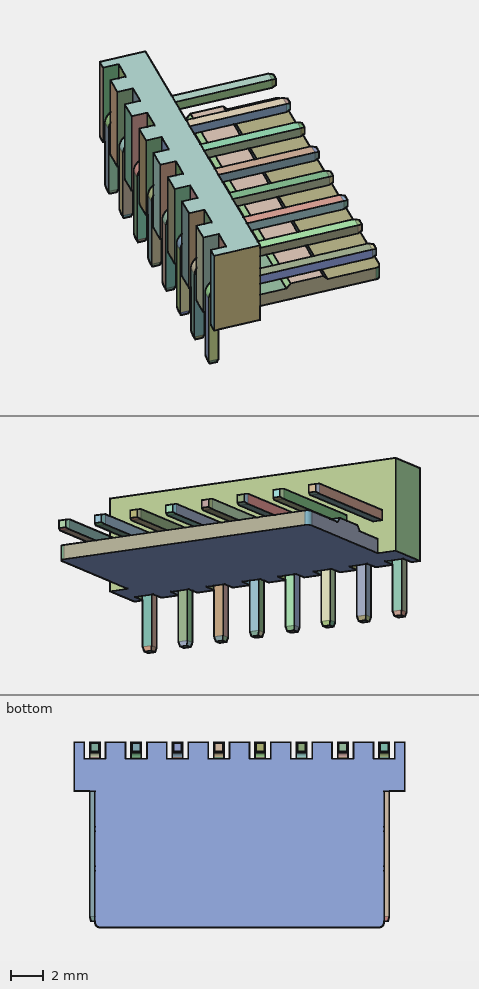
import cadquery as cq


pin_count = 8
body_length = 20.32
pitch = body_length / pin_count
pin_centres = [(i + 0.5) * pitch - body_length / 2 for i in range(pin_count)]

body_depth = 3.0
body_height = 5.9
slot_width = 1.3
slot_depth = 1.02

tongue_end = 11.4
tongue_width = pin_centres[-1] - pin_centres[0]
tongue_thickness = 0.91
tongue_corner_radius = 0.33

rib_start = 5.2
rib_end = 7.9
rib_height = 0.33
rib_flank = 0.28

pin_size = 0.65
pin_top = 2.7
pin_back = 11.01
pin_bottom = -3.41
bend_outer_radius = 0.91
bend_inner_radius = bend_outer_radius - pin_size
tip_length = 0.3
tip_inset = 0.08


def make_body():
    """Housing block with a full-height slot in front of every pin."""
    body = cq.Workplane("XY").box(body_length, body_depth, body_height, centered=(True, False, False))
    slots = (
        cq.Workplane("XY")
        .pushPoints([(x, slot_depth / 2) for x in pin_centres])
        .rect(slot_width, slot_depth)
        .extrude(body_height)
    )
    return body.cut(slots)


def make_tongue():
    """Flat tongue with rounded free corners and a trapezoidal rib on top."""
    rib_top = tongue_thickness + rib_height
    return (
        cq.Workplane("YZ")
        .moveTo(body_depth, 0)
        .lineTo(tongue_end, 0)
        .lineTo(tongue_end, tongue_thickness)
        .lineTo(rib_end, tongue_thickness)
        .lineTo(rib_end - rib_flank, rib_top)
        .lineTo(rib_start + rib_flank, rib_top)
        .lineTo(rib_start, tongue_thickness)
        .lineTo(body_depth, tongue_thickness)
        .close()
        .extrude(tongue_width / 2, both=True)
        .edges("|Z and >Y")
        .fillet(tongue_corner_radius)
    )


def make_tip(plane):
    """Tapered pin end growing along the normal of the given plane."""
    tip_size = pin_size - 2 * tip_inset
    return (
        cq.Workplane(plane)
        .rect(pin_size, pin_size)
        .workplane(offset=tip_length)
        .rect(tip_size, tip_size)
        .loft(ruled=True)
    )


def make_pin():
    """One pin centred on x = 0: horizontal leg, rounded bend and vertical leg."""
    leg_back = pin_back - tip_length
    leg_bottom = pin_bottom + tip_length
    underside = pin_top - pin_size
    bend_z = pin_top - bend_outer_radius
    shank = (
        cq.Workplane("YZ")
        .moveTo(0, leg_bottom)
        .lineTo(0, bend_z)
        .radiusArc((bend_outer_radius, pin_top), bend_outer_radius)
        .lineTo(leg_back, pin_top)
        .lineTo(leg_back, underside)
        .lineTo(bend_outer_radius, underside)
        .radiusArc((pin_size, bend_z), -bend_inner_radius)
        .lineTo(pin_size, leg_bottom)
        .close()
        .extrude(pin_size / 2, both=True)
    )
    back_centre = (0, leg_back, pin_top - pin_size / 2)
    bottom_centre = (0, pin_size / 2, leg_bottom)
    back_tip = make_tip(cq.Plane(origin=back_centre, xDir=(1, 0, 0), normal=(0, 1, 0)))
    bottom_tip = make_tip(cq.Plane(origin=bottom_centre, xDir=(1, 0, 0), normal=(0, 0, -1)))
    return shank.union(back_tip).union(bottom_tip)


result = make_body().union(make_tongue())
pin = make_pin()
for x in pin_centres:
    result = result.union(pin.translate((x, 0, 0)))